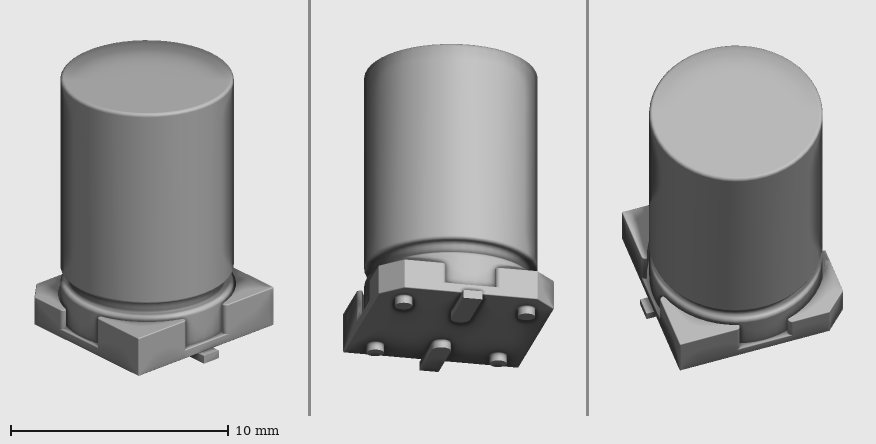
import cadquery as cq

total_height = 12.9
lead_span = 9.0

base_size = 8.3
base_bottom = 0.4
notch_floor = 0.85
low_corner_top = 1.82
high_corner_top = 2.33
corner_chamfer = 1.0
notch_width = 2.35
notch_edge_radius = 0.19
edge_radius = 0.05
seat_diameter = 8.2

can_diameter = 8.0
can_radius = can_diameter / 2
neck_diameter = 7.2
neck_radius = neck_diameter / 2
can_top_edge_radius = 0.15
flange_top = 2.55
flange_edge_radius = 0.19
neck_corner_radius = 0.12
groove_top = 3.16
groove_corner_radius = 0.15
can_bottom_edge_radius = 0.15

lead_width = 0.9
lead_inner_end = 1.55
foot_diameter = 0.8
foot_offset = 2.9


def make_plate(top):
    """Square plate with two chamfered corners and softened upright edges."""
    return (
        cq.Workplane("XY", origin=(0, 0, base_bottom))
        .rect(base_size, base_size)
        .extrude(top - base_bottom)
        .edges("|Z and <X")
        .chamfer(corner_chamfer)
        .edges("|Z")
        .fillet(edge_radius)
    )


def make_corner_block(x_side, y_side, top):
    """One corner of the plate, rounded beside the notches and seated around the can."""
    inner = notch_width / 2
    outer = base_size / 2
    block_bottom = base_bottom + edge_radius
    corner_space = (
        cq.Workplane("XY", origin=(0, 0, block_bottom))
        .moveTo(x_side * inner, y_side * inner)
        .lineTo(x_side * base_size, y_side * inner)
        .lineTo(x_side * base_size, y_side * base_size)
        .lineTo(x_side * inner, y_side * base_size)
        .close()
        .extrude(top - block_bottom)
    )
    block = make_plate(top).intersect(corner_space)

    notch_corners = (x_side * inner, y_side * outer), (x_side * outer, y_side * inner)
    for x, y in notch_corners:
        notch_edge = cq.selectors.NearestToPointSelector((x, y, (block_bottom + top) / 2))
        block = block.edges("|Z").edges(notch_edge).fillet(notch_edge_radius)

    seat = cq.Workplane("XY").circle(seat_diameter / 2).extrude(total_height)
    return block.faces(">Z").edges().fillet(edge_radius).cut(seat)


def make_base():
    """Base plate with four corner blocks; the pair beside the chamfers is lower."""
    base = make_plate(notch_floor).faces("<Z or >Z").edges().fillet(edge_radius)
    for y_side in (-1, 1):
        base = base.union(make_corner_block(-1, y_side, low_corner_top))
        base = base.union(make_corner_block(1, y_side, high_corner_top))
    return base


def make_can():
    """Revolved can with a rolled groove above its bottom flange."""
    flange_start = can_radius - flange_edge_radius
    profile = (
        cq.Workplane("XZ")
        .moveTo(0, notch_floor)
        .lineTo(can_radius, notch_floor)
        .lineTo(can_radius, flange_top - flange_edge_radius)
        .radiusArc((flange_start, flange_top), -flange_edge_radius)
        .lineTo(neck_radius + neck_corner_radius, flange_top)
        .radiusArc((neck_radius, flange_top + neck_corner_radius), neck_corner_radius)
        .lineTo(neck_radius, groove_top - groove_corner_radius)
        .radiusArc((neck_radius + groove_corner_radius, groove_top), groove_corner_radius)
        .lineTo(can_radius - can_bottom_edge_radius, groove_top)
        .radiusArc((can_radius, groove_top + can_bottom_edge_radius), -can_bottom_edge_radius)
        .lineTo(can_radius, total_height - can_top_edge_radius)
        .radiusArc((can_radius - can_top_edge_radius, total_height), -can_top_edge_radius)
        .lineTo(0, total_height)
        .close()
    )
    return profile.revolve(360, (0, 0, 0), (0, 1, 0))


def make_leads():
    """Two flat leads along X, each with a round inner end."""
    end_radius = lead_width / 2
    straight_end = lead_inner_end + end_radius
    outer_end = lead_span / 2
    lead = (
        cq.Workplane("XY")
        .moveTo(outer_end, -end_radius)
        .lineTo(outer_end, end_radius)
        .lineTo(straight_end, end_radius)
        .threePointArc((lead_inner_end, 0), (straight_end, -end_radius))
        .close()
        .extrude(base_bottom)
    )
    return lead.union(lead.mirror("YZ"))


def make_foot():
    """Round foot that widens into the base through a small root fillet."""
    radius = foot_diameter / 2
    profile = (
        cq.Workplane("XZ")
        .lineTo(radius, 0)
        .lineTo(radius, base_bottom - edge_radius)
        .radiusArc((radius + edge_radius, base_bottom), edge_radius)
        .lineTo(0, base_bottom)
        .close()
    )
    return profile.revolve(360, (0, 0, 0), (0, 1, 0))


result = make_base().union(make_can()).union(make_leads())
foot = make_foot()
for x in (-foot_offset, foot_offset):
    for y in (-foot_offset, foot_offset):
        result = result.union(foot.translate((x, y, 0)))